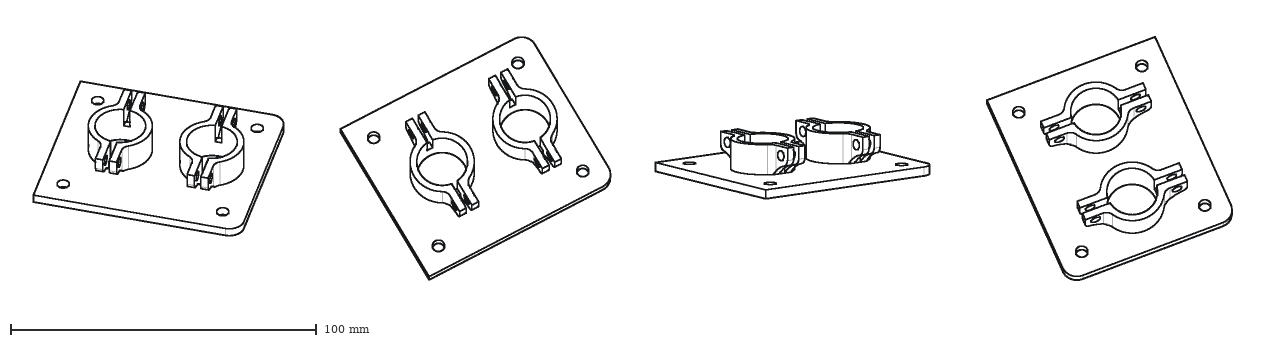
import cadquery as cq
import math

plate_length = 70.0
plate_width = 59.5
plate_thickness = 3.0
plate_corner_radius = 5.0
mount_hole_diameter = 4.0
mount_hole_inset = 8.0

total_height = 13.0
first_clamp_x = 21.5
clamp_pitch = 31.0
bore_diameter = 16.6
ring_radius = 10.5
slot_width = 2.1
slot_floor_height = 3.0

ear_thickness = 2.5
ear_reach = 18.05
ear_blend_radius = 3.0
screw_hole_diameter = 3.3
screw_hole_reach = 14.4
screw_hole_drop = 3.1

tip_face_drop = 3.8
tip_round_middle = (17.65, 5.3)
tip_round_end = (16.8, 6.1)
hollow_middle = (13.6, 7.35)

clamp_height = total_height - plate_thickness
ears_half_width = slot_width / 2 + ear_thickness
ears_width = 2 * ears_half_width


def make_plate():
    hole_y = plate_width / 2 - mount_hole_inset
    holes = [
        (x, y)
        for x in (mount_hole_inset, plate_length - mount_hole_inset)
        for y in (-hole_y, hole_y)
    ]
    return (
        cq.Workplane("XY")
        .box(plate_length, plate_width, plate_thickness, centered=(False, True, False))
        .edges("|Z and >X")
        .fillet(plate_corner_radius)
        .faces("<Z")
        .workplane(origin=(0, 0, 0))
        .pushPoints(holes)
        .circle(mount_hole_diameter / 2)
        .cutThruAll()
    )


def make_ear_blends():
    """Block at the ear roots with sides hollowed by arcs tangent to the ring and the ears."""
    centre_x = ears_half_width + ear_blend_radius
    centre_radius = ring_radius + ear_blend_radius
    centre_y = math.sqrt(centre_radius**2 - centre_x**2)
    tangent_x = centre_x * ring_radius / centre_radius
    tangent_y = centre_y * ring_radius / centre_radius
    return (
        cq.Workplane("XY")
        .moveTo(-tangent_x, 0)
        .lineTo(tangent_x, 0)
        .lineTo(tangent_x, tangent_y)
        .radiusArc((ears_half_width, centre_y), ear_blend_radius)
        .lineTo(-ears_half_width, centre_y)
        .radiusArc((-tangent_x, tangent_y), ear_blend_radius)
        .close()
        .extrude(clamp_height)
    )


def make_ear_side_profile():
    """Side shape of one ear, extruded along X across the whole ring."""
    def at(reach_and_drop):
        reach, drop = reach_and_drop
        return (reach, clamp_height - drop)

    return (
        cq.Workplane("YZ")
        .workplane(offset=-ring_radius)
        .moveTo(0, 0)
        .lineTo(0, clamp_height)
        .lineTo(ear_reach, clamp_height)
        .lineTo(*at((ear_reach, tip_face_drop)))
        .threePointArc(at(tip_round_middle), at(tip_round_end))
        .threePointArc(at(hollow_middle), (ring_radius, 0))
        .close()
        .extrude(2 * ring_radius)
    )


def make_ear_pair():
    ears = cq.Workplane("XY").box(ears_width, ear_reach, clamp_height, centered=(True, False, False))
    screw_hole = (
        cq.Workplane("YZ")
        .center(screw_hole_reach, clamp_height - screw_hole_drop)
        .circle(screw_hole_diameter / 2)
        .extrude(ears_half_width, both=True)
    )
    return ears.union(make_ear_blends()).intersect(make_ear_side_profile()).cut(screw_hole)


def make_clamp():
    ring = cq.Workplane("XY").circle(ring_radius).extrude(clamp_height)
    ears = make_ear_pair()
    slot = cq.Workplane("XY").box(
        slot_width, 2 * ear_reach, clamp_height, centered=(True, True, False)
    )
    inner_slot = slot.translate((0, 0, slot_floor_height))
    outer_slot = slot.cut(ring)
    return ring.union(ears).union(ears.mirror("XZ")).cut(inner_slot).cut(outer_slot)


result = make_plate()
clamp = make_clamp()
bore = cq.Workplane("XY").circle(bore_diameter / 2).extrude(total_height)
for clamp_x in (first_clamp_x, first_clamp_x + clamp_pitch):
    result = result.union(clamp.translate((clamp_x, 0, plate_thickness)))
    result = result.cut(bore.translate((clamp_x, 0, 0)))